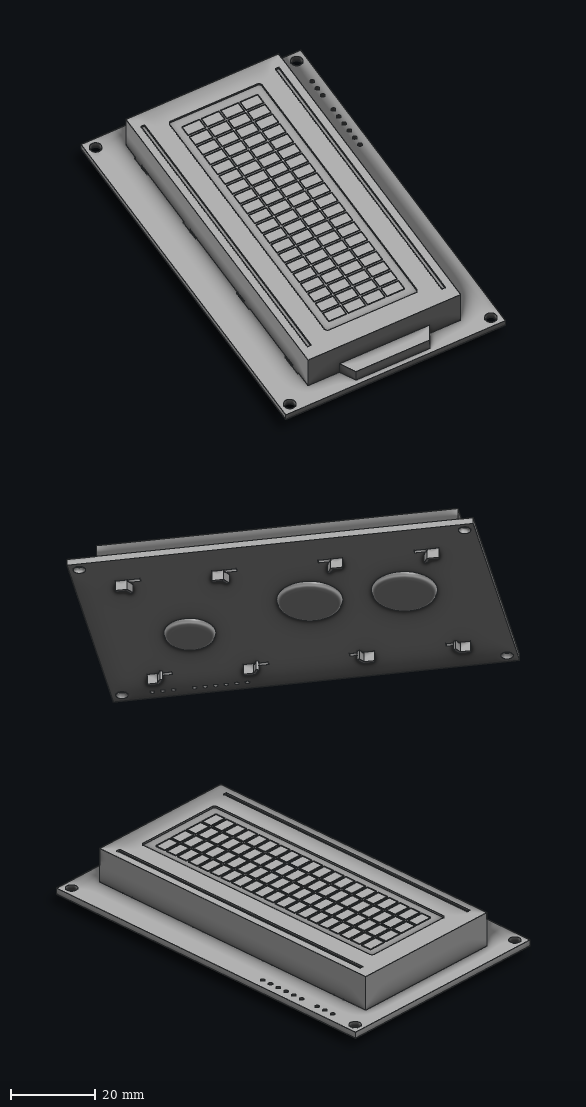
import cadquery as cq
import math

board_length = 98.0
board_width = 60.0
board_thickness = 1.7

mount_hole_diameter = 2.9
mount_hole_inset = 2.5

pin_hole_diameter = 1.1
pin_pitch = 2.5
pin_places = 10
undrilled_place = 3
first_pin_x = -39.1
pin_row_y = board_width / 2 - mount_hole_inset

bezel_length = 87.2
bezel_width = 41.65
bezel_height = 9.2

groove_length = 79.8
groove_width = 1.0
groove_depth = 0.5
groove_spacing = 36.7

window_length = 75.7
window_width = 25.2
window_corner_radius = 0.8
window_depth = 0.5

cell_columns = 20
cell_rows = 4
cell_length = 2.9
cell_width = 4.8
cell_field_length = 70.4
cell_field_width = 20.7
cell_height = 0.2
cell_pitch_x = (cell_field_length - cell_length) / (cell_columns - 1)
cell_pitch_y = (cell_field_width - cell_width) / (cell_rows - 1)

backlight_reach = 4.1
backlight_root_width = 24.5
backlight_tip_width = 20.2
backlight_height = 3.0

tab_drop = 2.45
tab_thickness = 0.7
tab_plate_length = 2.8
tab_outer_x = 39.0
tab_inner_x = 15.8
flap_run_x = 1.1
flap_run_y = 1.8
slot_length = 6.0
slot_width = 1.1
front_slot_overhang = 0.3

domes = [(-25.7, 3.9, 6.2), (4.9, -4.9, 7.8), (27.7, -4.9, 7.8)]
dome_height = 1.6
dome_edge_radius = 1.5


def block(length, width, bottom, height):
    """Box centred on the Z axis, standing on the level `bottom`."""
    return cq.Workplane("XY").workplane(offset=bottom).rect(length, width).extrude(height)


def make_board():
    board = block(board_length, board_width, -board_thickness, board_thickness)
    mount_x = board_length - 2 * mount_hole_inset
    mount_y = board_width - 2 * mount_hole_inset
    board = (
        board.faces(">Z").workplane(origin=(0, 0, 0))
        .rect(mount_x, mount_y, forConstruction=True).vertices().hole(mount_hole_diameter)
    )
    pins = [
        (first_pin_x + place * pin_pitch, pin_row_y)
        for place in range(pin_places)
        if place != undrilled_place
    ]
    return board.faces(">Z").workplane(origin=(0, 0, 0)).pushPoints(pins).hole(pin_hole_diameter)


def make_bezel():
    bezel = block(bezel_length, bezel_width, 0, bezel_height)
    window_floor = bezel_height - window_depth
    window = block(window_length, window_width, window_floor, window_depth)
    bezel = bezel.cut(window.edges("|Z").fillet(window_corner_radius))
    for side in (-1, 1):
        groove = block(groove_length, groove_width, bezel_height - groove_depth, groove_depth)
        bezel = bezel.cut(groove.translate((0, side * groove_spacing / 2, 0)))
    cells = (
        cq.Workplane("XY").workplane(offset=window_floor)
        .rarray(cell_pitch_x, cell_pitch_y, cell_columns, cell_rows)
        .rect(cell_length, cell_width).extrude(cell_height)
    )
    return bezel.union(cells)


def make_backlight():
    root_x = bezel_length / 2
    tip_x = root_x + backlight_reach
    outline = [
        (root_x, -backlight_root_width / 2),
        (tip_x, -backlight_tip_width / 2),
        (tip_x, backlight_tip_width / 2),
        (root_x, backlight_root_width / 2),
    ]
    return cq.Workplane("XY").polyline(outline).close().extrude(backlight_height)


def make_tab(start_x, direction):
    """Front tab running from start_x along `direction`, then folding inwards."""
    front_y = -bezel_width / 2
    fold_x = start_x + direction * tab_plate_length
    bottom = -board_thickness - tab_drop
    plate = (
        cq.Workplane("XY").workplane(offset=bottom)
        .moveTo(start_x, front_y)
        .lineTo(fold_x, front_y)
        .lineTo(fold_x, front_y + tab_thickness)
        .lineTo(start_x, front_y + tab_thickness)
        .close().extrude(-bottom)
    )
    run = math.hypot(flap_run_x, flap_run_y)
    across_x = -direction * tab_thickness * flap_run_y / run
    across_y = tab_thickness * flap_run_x / run
    flap = (
        cq.Workplane("XY").workplane(offset=bottom)
        .moveTo(fold_x, front_y)
        .line(direction * flap_run_x, flap_run_y)
        .line(across_x, across_y)
        .line(-direction * flap_run_x, -flap_run_y)
        .close().extrude(tab_drop)
    )
    return plate.union(flap)


def make_slot(start_x, direction, front_y):
    """Board slot for the tab that starts at start_x, reaching backwards from front_y."""
    centre_x = start_x + direction * slot_length / 2
    slot = block(slot_length, slot_width, -board_thickness, board_thickness)
    return slot.translate((centre_x, front_y + slot_width / 2, 0))


def make_dome(x, y, radius):
    dome = (
        cq.Workplane("XY").workplane(offset=-board_thickness)
        .center(x, y).circle(radius).extrude(-dome_height)
    )
    return dome.faces("<Z").edges().fillet(dome_edge_radius)


front_slot_y = -bezel_width / 2 - front_slot_overhang
rear_slot_y = bezel_width / 2 - slot_width

board = make_board()
tabs = []
for outer_x in (tab_outer_x, tab_inner_x):
    for side in (-1, 1):
        start_x = side * outer_x
        for slot_y in (front_slot_y, rear_slot_y):
            board = board.cut(make_slot(start_x, -side, slot_y))
        tab = make_tab(start_x, -side)
        tabs += [tab, tab.mirror("XZ")]

result = board.union(make_bezel()).union(make_backlight())
for tab in tabs:
    result = result.union(tab)
for x, y, radius in domes:
    result = result.union(make_dome(x, y, radius))